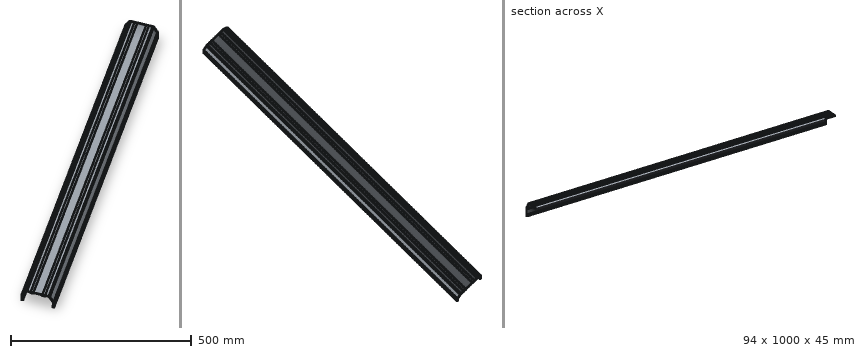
import cadquery as cq

length = 1000.0
width = 94.0
height = 45.0
thickness = 2.0

half_width = width / 2
flat_half_width = 32.0
shoulder_half_width = 35.0
shoulder_drop = 2.0
wall_height = 21.0
wall_bevel_run = 1.0
wall_bevel_rise = 3.0

lip_height = 4.0
lip_depth = 2.0

rib_offset = 17.0
rib_width = 8.0
rib_reach = 5.0


def extruded_cover():
    """Bent sheet of constant thickness, open at the bottom and both ends."""
    right_side = [
        (half_width, 0),
        (half_width, wall_height),
        (half_width - wall_bevel_run, wall_height + wall_bevel_rise),
        (shoulder_half_width, height - shoulder_drop),
        (flat_half_width, height),
    ]
    left_side = [(-x, z) for x, z in reversed(right_side)]
    outer = cq.Workplane("XZ").polyline(right_side + left_side).close()
    solid = outer.extrude(length / 2, both=True)
    return solid.faces("<Y or >Y or <Z").shell(-thickness)


def inner_bar(x_center, z_bottom, bar_width, bar_height):
    """Full-length bar centred on x_center and standing on z_bottom."""
    return cq.Workplane("XY", origin=(x_center, 0, z_bottom)).box(
        bar_width, length, bar_height, centered=(True, True, False)
    )


result = extruded_cover()

for side in (-1, 1):
    lip_width = thickness + lip_depth
    lip_center = side * (half_width - lip_width / 2)
    result = result.union(inner_bar(lip_center, 0, lip_width, lip_height))
    result = result.union(inner_bar(side * rib_offset, height - rib_reach, rib_width, rib_reach))